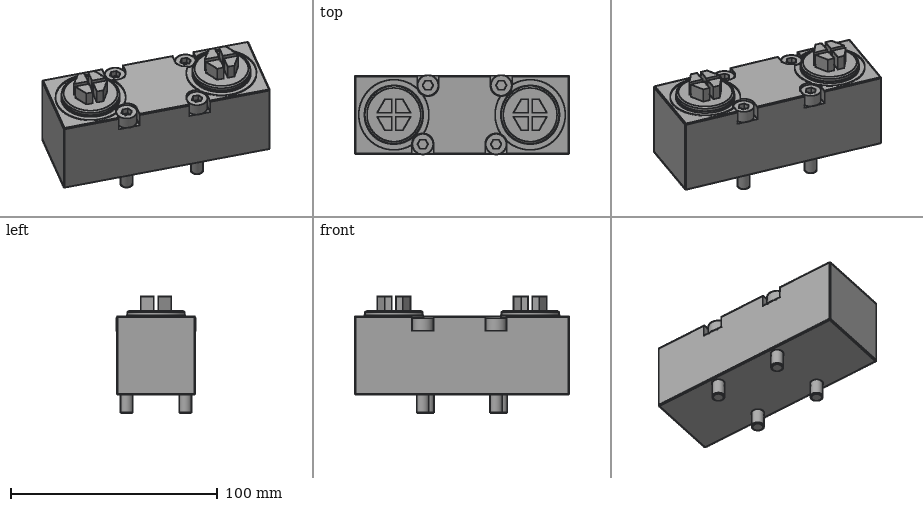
import cadquery as cq
import math

BLOCK_LENGTH = 104.0
BLOCK_WIDTH = 38.0
BLOCK_HEIGHT = 38.0
BLOCK_CHAMFER = 0.5

PLUG_OFFSET = 33.0
SPOT_FACE_DIAMETER = 34.0
SPOT_FACE_DEPTH = 0.5
SPOT_FACE_LEVEL = BLOCK_HEIGHT - SPOT_FACE_DEPTH

WASHER_DIAMETER = 28.5
WASHER_BORE = 22.0
WASHER_THICKNESS = 1.0

STEM_DIAMETER = 18.63
STEM_LENGTH = 14.0
FLANGE_DIAMETER = 28.0
FLANGE_THICKNESS = 2.0
FLANGE_CHAMFER_WIDTH = 1.0
FLANGE_CHAMFER_ANGLE = 30.0
GRIP_ACROSS_FLATS = 15.0
GRIP_HEIGHT = 7.0
GRIP_SLOT_WIDTH = 2.0

SCREW_PITCH_X = 35.5
SCREW_ROW_SHIFT = 1.25
SCREW_ROW_Y = 14.25
HEAD_DIAMETER = 10.0
HEAD_HEIGHT = 6.0
SHANK_DIAMETER = 6.0
SHANK_LENGTH = 40.0
SHANK_CHAMFER = 0.5
SOCKET_ACROSS_FLATS = 4.5
SOCKET_DEPTH = 3.0

SCREW_HOLE_DIAMETER = 6.3
SEAT_DIAMETER = 10.5
SEAT_DEPTH = 7.0
SEAT_LEVEL = BLOCK_HEIGHT - SEAT_DEPTH

PLUG_CENTRES = [(-PLUG_OFFSET, 0), (PLUG_OFFSET, 0)]
SCREW_CENTRES = [
    (column * SCREW_PITCH_X / 2 + row * SCREW_ROW_SHIFT, row * SCREW_ROW_Y)
    for row in (-1, 1)
    for column in (-1, 1)
]


def cylinder(centre, diameter, bottom, height):
    """Upright cylinder starting at the level `bottom`."""
    return cq.Workplane("XY", origin=(*centre, bottom)).circle(diameter / 2).extrude(height)


def hexagon(centre, across_flats, bottom, height):
    """Upright hexagonal prism with two corners in line with the centre along X."""
    corner_diameter = across_flats / math.cos(math.pi / 6)
    return cq.Workplane("XY", origin=(*centre, bottom)).polygon(6, corner_diameter).extrude(height)


def screw_seat(centre):
    """Space for a screw head: a round seat that runs straight out through the nearer long side."""
    x, y = centre
    run_out = BLOCK_WIDTH / 2
    channel = cq.Workplane("XY").box(
        SEAT_DIAMETER, run_out, SEAT_DEPTH, centered=(True, True, False)
    )
    channel = channel.translate((x, y + math.copysign(run_out / 2, y), SEAT_LEVEL))
    return cylinder(centre, SEAT_DIAMETER, SEAT_LEVEL, SEAT_DEPTH).union(channel)


def make_housing():
    """Chamfered block with two plug bores and four screw seats with through holes."""
    block = cq.Workplane("XY").box(
        BLOCK_LENGTH, BLOCK_WIDTH, BLOCK_HEIGHT, centered=(True, True, False)
    )
    block = block.edges().chamfer(BLOCK_CHAMFER)
    for centre in PLUG_CENTRES:
        block = block.cut(cylinder(centre, SPOT_FACE_DIAMETER, SPOT_FACE_LEVEL, SPOT_FACE_DEPTH))
        block = block.cut(cylinder(centre, STEM_DIAMETER, SPOT_FACE_LEVEL - STEM_LENGTH, STEM_LENGTH))
    for centre in SCREW_CENTRES:
        block = block.cut(screw_seat(centre))
        block = block.cut(cylinder(centre, SCREW_HOLE_DIAMETER, 0, BLOCK_HEIGHT))
    return block


def make_washer(centre):
    """Flat washer lying on the spot face."""
    washer = cylinder(centre, WASHER_DIAMETER, SPOT_FACE_LEVEL, WASHER_THICKNESS)
    return washer.cut(cylinder(centre, WASHER_BORE, SPOT_FACE_LEVEL, WASHER_THICKNESS))


def make_plug(centre):
    """Plug resting on the washer, its stem in the housing and its grip split by crossed slots."""
    stem_radius = STEM_DIAMETER / 2
    flange_radius = FLANGE_DIAMETER / 2
    stem_bottom = SPOT_FACE_LEVEL - STEM_LENGTH
    flange_bottom = SPOT_FACE_LEVEL + WASHER_THICKNESS
    flange_top = flange_bottom + FLANGE_THICKNESS
    chamfer_height = FLANGE_CHAMFER_WIDTH * math.tan(math.radians(FLANGE_CHAMFER_ANGLE))
    profile = [
        (0, stem_bottom),
        (stem_radius, stem_bottom),
        (stem_radius, flange_bottom),
        (flange_radius, flange_bottom),
        (flange_radius, flange_top - chamfer_height),
        (flange_radius - FLANGE_CHAMFER_WIDTH, flange_top),
        (0, flange_top),
    ]
    plug = cq.Workplane("XZ").polyline(profile).close().revolve(360, (0, 0), (0, 1))
    plug = plug.translate((*centre, 0))

    grip = hexagon(centre, GRIP_ACROSS_FLATS, flange_top, GRIP_HEIGHT)
    slot_plane = cq.Workplane("XY", origin=(*centre, flange_top))
    slot_along_x = slot_plane.rect(FLANGE_DIAMETER, GRIP_SLOT_WIDTH).extrude(GRIP_HEIGHT)
    slot_along_y = slot_plane.rect(GRIP_SLOT_WIDTH, FLANGE_DIAMETER).extrude(GRIP_HEIGHT)
    return plug.union(grip.cut(slot_along_x).cut(slot_along_y))


def make_screw(centre):
    """Socket head screw with a chamfered shank end."""
    shank = cylinder(centre, SHANK_DIAMETER, SEAT_LEVEL - SHANK_LENGTH, SHANK_LENGTH)
    shank = shank.faces("<Z").chamfer(SHANK_CHAMFER)
    head = cylinder(centre, HEAD_DIAMETER, SEAT_LEVEL, HEAD_HEIGHT)
    head_top = SEAT_LEVEL + HEAD_HEIGHT
    socket = hexagon(centre, SOCKET_ACROSS_FLATS, head_top - SOCKET_DEPTH, SOCKET_DEPTH)
    return shank.union(head).cut(socket)


housing = make_housing()
washers = [make_washer(centre).val() for centre in PLUG_CENTRES]
plugs = [make_plug(centre).val() for centre in PLUG_CENTRES]
screws = [make_screw(centre).val() for centre in SCREW_CENTRES]

result = cq.Compound.makeCompound([housing.val(), *washers, *plugs, *screws])